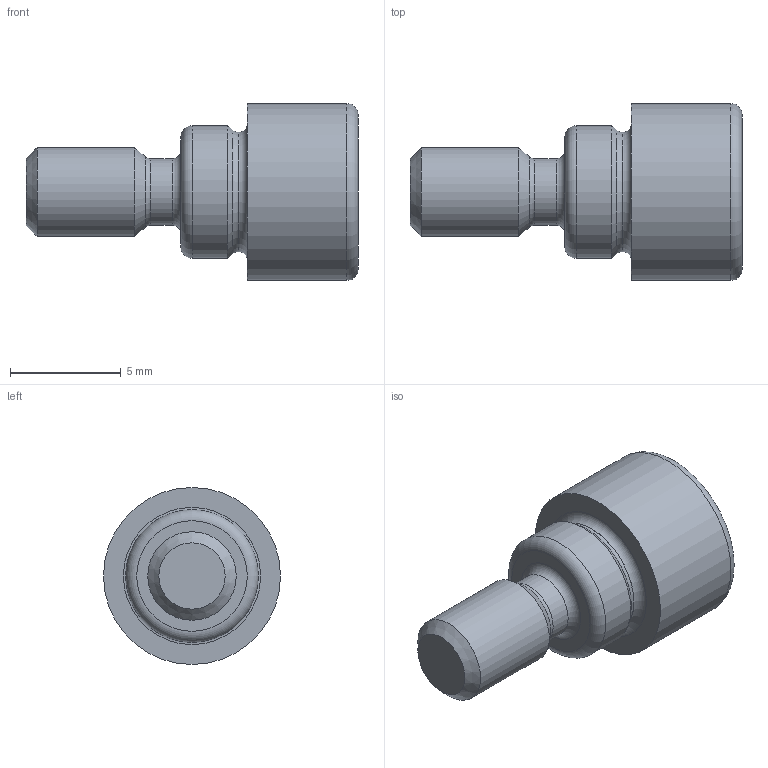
import cadquery as cq
import math

SHOULDER_X = 7.0
HEAD_X = 10.0
END_X = 15.0

STUD_RADIUS = 2.0
SHOULDER_RADIUS = 3.0
HEAD_RADIUS = 4.0

TIP_CHAMFER = 0.5
EDGE_ROUND = 0.5

RELIEF_FILLET = 0.4
RELIEF_ANGLE = math.radians(40)
STUD_RELIEF_WIDTH = 2.1
STUD_RELIEF_DEPTH = 0.5
SHOULDER_RELIEF_WIDTH = 0.9
SHOULDER_RELIEF_DEPTH = 0.3

DIAGONAL = math.sqrt(0.5)


def add_relief(profile, face_x, step_radius, width, depth):
    """Continue the profile along a step and through the relief groove that ends at face_x."""
    start_x = face_x - width
    floor_radius = step_radius - depth
    center_radius = floor_radius + RELIEF_FILLET
    blend_rise = RELIEF_FILLET * (1 - math.cos(RELIEF_ANGLE))
    cone_end_x = start_x + (depth - blend_rise) / math.tan(RELIEF_ANGLE)
    blend_end_x = cone_end_x + RELIEF_FILLET * math.sin(RELIEF_ANGLE)
    blend_mid = (
        blend_end_x - RELIEF_FILLET * math.sin(RELIEF_ANGLE / 2),
        center_radius - RELIEF_FILLET * math.cos(RELIEF_ANGLE / 2),
    )
    fillet_x = face_x - RELIEF_FILLET
    fillet_mid = (
        fillet_x + RELIEF_FILLET * DIAGONAL,
        center_radius - RELIEF_FILLET * DIAGONAL,
    )
    return (
        profile.lineTo(start_x, step_radius)
        .lineTo(cone_end_x, floor_radius + blend_rise)
        .threePointArc(blend_mid, (blend_end_x, floor_radius))
        .lineTo(fillet_x, floor_radius)
        .threePointArc(fillet_mid, (face_x, center_radius))
    )


def add_shoulder_round(profile):
    """Go up the shoulder face and around its rounded front edge."""
    center_x = SHOULDER_X + EDGE_ROUND
    center_radius = SHOULDER_RADIUS - EDGE_ROUND
    round_mid = (center_x - EDGE_ROUND * DIAGONAL, center_radius + EDGE_ROUND * DIAGONAL)
    return profile.lineTo(SHOULDER_X, center_radius).threePointArc(round_mid, (center_x, SHOULDER_RADIUS))


def add_head(profile):
    """Go up the head face, along the head and around its rounded rear edge."""
    center_x = END_X - EDGE_ROUND
    center_radius = HEAD_RADIUS - EDGE_ROUND
    round_mid = (center_x + EDGE_ROUND * DIAGONAL, center_radius + EDGE_ROUND * DIAGONAL)
    return (
        profile.lineTo(HEAD_X, HEAD_RADIUS)
        .lineTo(center_x, HEAD_RADIUS)
        .threePointArc(round_mid, (END_X, center_radius))
    )


def make_part():
    """Revolve the half profile about the X axis."""
    profile = (
        cq.Workplane("XZ")
        .lineTo(0, STUD_RADIUS - TIP_CHAMFER)
        .lineTo(TIP_CHAMFER, STUD_RADIUS)
    )
    profile = add_relief(profile, SHOULDER_X, STUD_RADIUS, STUD_RELIEF_WIDTH, STUD_RELIEF_DEPTH)
    profile = add_shoulder_round(profile)
    profile = add_relief(profile, HEAD_X, SHOULDER_RADIUS, SHOULDER_RELIEF_WIDTH, SHOULDER_RELIEF_DEPTH)
    profile = add_head(profile)
    return profile.lineTo(END_X, 0).close().revolve(360, (0, 0, 0), (1, 0, 0))


result = make_part()